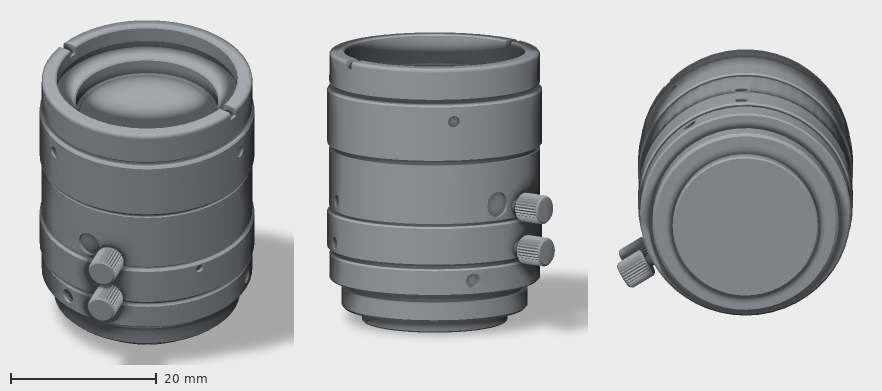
import cadquery as cq
import math


TOTAL_HEIGHT = 37.6
MOUNT_TOP = 1.88
FLANGE_TOP = 4.65
SHOULDER_TOP = 5.85
REAR_RING_TOP = 9.62
FOCUS_RING_BASE = 10.15
FOCUS_RING_TOP = 15.55
IRIS_RING_BASE = 15.98
IRIS_RING_TOP = 24.1
GRIP_RING_BASE = 24.62
GRIP_RING_TOP = 32.5
FRONT_RING_BASE = 33.08

MOUNT_RADIUS = 10.0
FLANGE_RADIUS = 12.78
SHOULDER_RADIUS = 12.0
SLIM_RING_RADIUS = 14.47
WIDE_RING_RADIUS = 29.5 / 2
GROOVE_RADIUS = 13.95
FRONT_NECK_RADIUS = 10.98

RING_CHAMFER = 0.23
FLANGE_CHAMFER = 0.38
MOUNT_CHAMFER = 0.2
FRONT_FILLET = 0.53

BORE_RADIUS = 12.4
BORE_DEPTH = 2.33
RELIEF_RADIUS = 12.93
BORE_FLOOR_DEPTH = 3.57
WELL_RADIUS = 9.77
WELL_DEPTH = 5.8
GLASS_EDGE_RADIUS = 9.45
GLASS_RADIUS = 9.25
BORE_CHAMFER = 0.2

SLOT_WIDTH = 1.28
SLOT_DEPTH = 1.15
SLOT_ANGLE = -16.1

GRIP_HOLE_DIAMETER = 1.6
GRIP_HOLE_Z = 30.22
GRIP_HOLE_ANGLE = -131.0
SCREW_HOLE_DIAMETER = 1.73
RING_HOLE_DEPTH = 0.8
REAR_HOLE_DIAMETER = 2.03
REAR_HOLE_Z = 7.9
REAR_HOLE_DEPTH = 0.45
REAR_PIT_DIAMETER = 1.65
REAR_PIT_DEPTH = 0.23
INDEX_HOLE_DIAMETER = 1.13
INDEX_HOLE_DEPTH = 0.55
INDEX_HOLE_Z = 14.65
INDEX_HOLE_ANGLE = -42.0
SPOT_DIAMETER = 3.42
SPOT_DEPTH = 0.53
SPOT_Z = 18.15
SPOT_ANGLE = -104.6

SCREW_ANGLE = -90.0
IRIS_SCREW_Z = 17.5
FOCUS_SCREW_Z = 11.65
COLLAR_RADIUS = 1.05
COLLAR_HEIGHT = 0.4
STEM_RADIUS = 0.8
STEM_LENGTH = 0.55
KNOB_LENGTH = 4.02
KNOB_RADIUS = 2.0
KNOB_ROOT_RADIUS = 1.8
KNOB_CHAMFER = 0.3
KNOB_TEETH = 30
SCREW_ROOT_DEPTH = 1.13

CUT_CLEARANCE = 0.75
THIRDS = (0.0, 120.0, 240.0)


def disc(radius, base, top):
    """Solid disc on the Z axis between two heights."""
    return cq.Workplane("XY").workplane(offset=base).circle(radius).extrude(top - base)


def ring(radius, base, top):
    """Disc with both rims chamfered."""
    return disc(radius, base, top).edges().chamfer(RING_CHAMFER)


def radial_plane(angle, distance, height):
    """Workplane facing outward from the barrel at the given angle and radius."""
    direction = math.radians(angle)
    outward = (math.cos(direction), math.sin(direction), 0)
    origin = (distance * outward[0], distance * outward[1], height)
    tangent = (-outward[1], outward[0], 0)
    return cq.Workplane(cq.Plane(origin=origin, xDir=tangent, normal=outward))


def radial_hole(angle, height, diameter, surface_radius, depth):
    """Cutter for a flat-bottomed hole sunk radially below a ring surface."""
    plane = radial_plane(angle, surface_radius - depth, height)
    return plane.circle(diameter / 2).extrude(depth + CUT_CLEARANCE)


def make_barrel():
    front_ring = disc(SLIM_RING_RADIUS, FRONT_RING_BASE, TOTAL_HEIGHT)
    front_ring = front_ring.edges(">Z").fillet(FRONT_FILLET).edges("<Z").chamfer(RING_CHAMFER)
    sections = [
        disc(FLANGE_RADIUS, MOUNT_TOP, FLANGE_TOP).edges("<Z").chamfer(FLANGE_CHAMFER),
        disc(SHOULDER_RADIUS, FLANGE_TOP, SHOULDER_TOP),
        ring(SLIM_RING_RADIUS, SHOULDER_TOP, REAR_RING_TOP),
        disc(GROOVE_RADIUS, REAR_RING_TOP, FOCUS_RING_BASE),
        ring(WIDE_RING_RADIUS, FOCUS_RING_BASE, FOCUS_RING_TOP),
        disc(GROOVE_RADIUS, FOCUS_RING_TOP, IRIS_RING_BASE),
        disc(SLIM_RING_RADIUS, IRIS_RING_BASE, IRIS_RING_TOP),
        disc(GROOVE_RADIUS, IRIS_RING_TOP, GRIP_RING_BASE),
        ring(WIDE_RING_RADIUS, GRIP_RING_BASE, GRIP_RING_TOP),
        disc(FRONT_NECK_RADIUS, GRIP_RING_TOP, FRONT_RING_BASE),
        front_ring,
    ]
    barrel = disc(MOUNT_RADIUS, 0, MOUNT_TOP).edges("<Z").chamfer(MOUNT_CHAMFER)
    for section in sections:
        barrel = barrel.union(section)
    return barrel


def make_front_cavity():
    """Stepped cavity with an undercut at the bore floor and a central well ending at the glass."""
    bore_floor = TOTAL_HEIGHT - BORE_FLOOR_DEPTH
    ledge = TOTAL_HEIGHT - WELL_DEPTH
    relief_top = TOTAL_HEIGHT - BORE_DEPTH
    glass = ledge - (GLASS_EDGE_RADIUS - GLASS_RADIUS)
    profile = [
        (0, TOTAL_HEIGHT),
        (BORE_RADIUS + BORE_CHAMFER, TOTAL_HEIGHT),
        (BORE_RADIUS, TOTAL_HEIGHT - BORE_CHAMFER),
        (BORE_RADIUS, relief_top),
        (RELIEF_RADIUS, relief_top),
        (RELIEF_RADIUS, bore_floor),
        (WELL_RADIUS + BORE_CHAMFER, bore_floor),
        (WELL_RADIUS, bore_floor - BORE_CHAMFER),
        (WELL_RADIUS, ledge),
        (GLASS_EDGE_RADIUS, ledge),
        (GLASS_RADIUS, glass),
        (0, glass),
    ]
    return cq.Workplane("XZ").polyline(profile).close().revolve(360, (0, 0), (0, 1))


def make_wrench_slots():
    slot = cq.Workplane("XY").box(2 * WIDE_RING_RADIUS, SLOT_WIDTH, 2 * SLOT_DEPTH)
    return slot.rotate((0, 0, 0), (0, 0, 1), SLOT_ANGLE).translate((0, 0, TOTAL_HEIGHT))


def make_radial_holes():
    cutters = [
        radial_hole(INDEX_HOLE_ANGLE, INDEX_HOLE_Z, INDEX_HOLE_DIAMETER, WIDE_RING_RADIUS, INDEX_HOLE_DEPTH),
        radial_hole(SPOT_ANGLE, SPOT_Z, SPOT_DIAMETER, SLIM_RING_RADIUS, SPOT_DEPTH),
    ]
    for turn in THIRDS:
        grip_angle = GRIP_HOLE_ANGLE + turn
        cutters.append(
            radial_hole(grip_angle, GRIP_HOLE_Z, GRIP_HOLE_DIAMETER, WIDE_RING_RADIUS, RING_HOLE_DEPTH)
        )
        pit_depth = REAR_HOLE_DEPTH + REAR_PIT_DEPTH
        cutters.append(radial_hole(turn, REAR_HOLE_Z, REAR_HOLE_DIAMETER, SLIM_RING_RADIUS, REAR_HOLE_DEPTH))
        cutters.append(radial_hole(turn, REAR_HOLE_Z, REAR_PIT_DIAMETER, SLIM_RING_RADIUS, pit_depth))
    for turn in THIRDS[1:]:
        angle = SCREW_ANGLE + turn
        cutters.append(
            radial_hole(angle, IRIS_SCREW_Z, SCREW_HOLE_DIAMETER, SLIM_RING_RADIUS, RING_HOLE_DEPTH)
        )
        cutters.append(
            radial_hole(angle, FOCUS_SCREW_Z, SCREW_HOLE_DIAMETER, WIDE_RING_RADIUS, RING_HOLE_DEPTH)
        )
    return cutters


def make_thumb_screw(height, surface_radius):
    """Collar, stem and knurled knob standing out of a ring surface."""
    collar_end = surface_radius + COLLAR_HEIGHT
    knob_start = collar_end + STEM_LENGTH
    root = radial_plane(SCREW_ANGLE, surface_radius - SCREW_ROOT_DEPTH, height)
    collar = root.circle(COLLAR_RADIUS).extrude(SCREW_ROOT_DEPTH + COLLAR_HEIGHT)
    stem = radial_plane(SCREW_ANGLE, collar_end, height).circle(STEM_RADIUS).extrude(STEM_LENGTH)

    knurl_points = []
    for index in range(2 * KNOB_TEETH):
        radius = KNOB_ROOT_RADIUS if index % 2 else KNOB_RADIUS
        angle = math.pi * index / KNOB_TEETH
        knurl_points.append((radius * math.cos(angle), radius * math.sin(angle)))
    knob_plane = radial_plane(SCREW_ANGLE, knob_start, height)
    knurl = knob_plane.polyline(knurl_points).close().extrude(KNOB_LENGTH)
    blank = knob_plane.circle(KNOB_RADIUS).extrude(KNOB_LENGTH).edges().chamfer(KNOB_CHAMFER)
    return collar.union(stem).union(blank.intersect(knurl))


result = make_barrel().cut(make_front_cavity()).cut(make_wrench_slots())
for cutter in make_radial_holes():
    result = result.cut(cutter)
result = result.union(make_thumb_screw(IRIS_SCREW_Z, SLIM_RING_RADIUS))
result = result.union(make_thumb_screw(FOCUS_SCREW_Z, WIDE_RING_RADIUS))